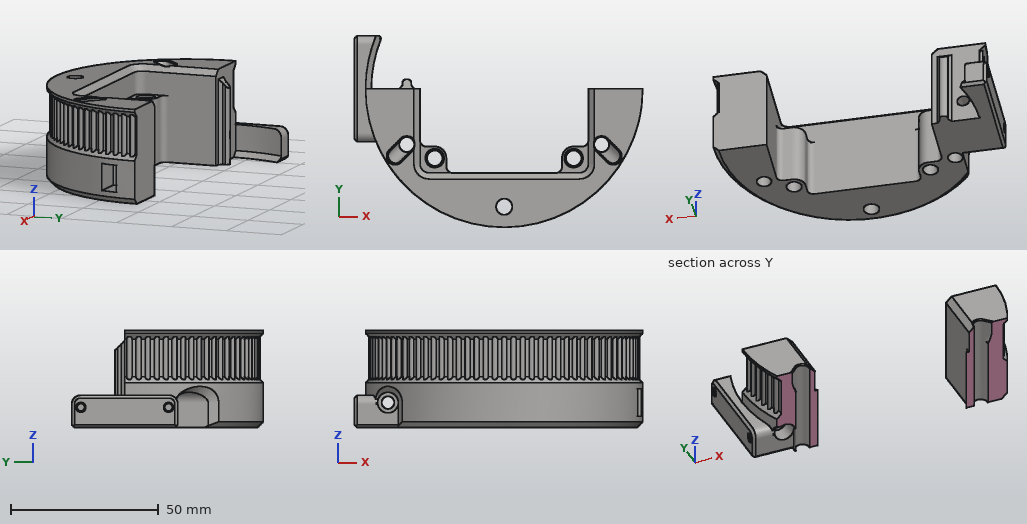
import cadquery as cq
import math

outer_radius = 47.0
height = 33.0
bottom_chamfer = 2.0
shoulder_height = 15.2
flange_thickness = 1.0

tooth_count = 90
tooth_height = 0.9
seat_radius = 45.0
tooth_embed = 1.0
tooth_width = 1.8
seat_depth = outer_radius - seat_radius

opening_half_width = 28.5
opening_corner_radius = 3.0
opening_chamfer = 2.1

ear_offset = 23.55
ear_radius = 4.0
ear_fillet = 2.0
ear_height = 23.0
ear_hole_diameter = 5.2
ear_rim_diameter = 6.4

centre_hole_diameter = 5.4
centre_hole_y = -40.0

guide_diameter = 5.0
guide_x = 33.0
guide_y = -18.9
guide_run = 4.0
guide_depth = 8.5
guide_hole_run = 0.05
guide_chamfer = 0.4

overall_length = 97.86
block_left = overall_length - outer_radius
block_half_length = 18.0
block_height = 11.0
block_corner_radius = 3.0
block_chamfer = 1.0
block_hole_diameter = 2.53
block_hole_mouth_diameter = 3.33
block_hole_spacing = 29.7
block_hole_z = 6.9
block_hole_depth = 0.6

screw_x = 39.4
screw_z = 8.5
screw_diameter = 4.2
screw_head_diameter = 7.0
screw_seat_y = -12.0
pocket_chamfer = 2.0

nut_slot_width = 9.3
nut_slot_near_y = -6.9
nut_slot_far_y = -12.6

rib_x = -33.0
rib_half_width = 1.5
rib_base_half_width = 2.5
rib_flare = 1.25
rib_side_end = 2.3
rib_projection = 3.3
rib_root_height = 29.5
rib_embed = 1.0

margin = 10.0


def box_between(low, high):
    size = [b - a for a, b in zip(low, high)]
    return cq.Workplane("XY").box(*size, centered=False).translate(low)


def cylinder_y(x, z, diameter, y_start, y_end):
    """Cylinder along +Y from y_start to y_end."""
    base = cq.Vector(x, y_start, z)
    return cq.Workplane(cq.Solid.makeCylinder(diameter / 2, y_end - y_start, base, cq.Vector(0, 1, 0)))


def beyond_split():
    """Everything on the +Y side of the split face, as far as the ring reaches."""
    return box_between((-outer_radius, 0, 0), (outer_radius, outer_radius, height))


def ring_blank():
    """Full disc with a chamfered foot, a belt seat and a flange at the top."""
    flange_bottom = height - flange_thickness
    profile = [
        (0, 0),
        (outer_radius - bottom_chamfer, 0),
        (outer_radius, bottom_chamfer),
        (outer_radius, shoulder_height),
        (seat_radius, shoulder_height + seat_depth),
        (seat_radius, flange_bottom - seat_depth),
        (outer_radius, flange_bottom),
        (outer_radius, height),
        (0, height),
    ]
    return cq.Workplane("XZ").polyline(profile).close().revolve(360, (0, 0, 0), (0, 1, 0))


def belt_teeth():
    """Round-topped ribs standing on the belt seat, all on the -Y half."""
    half = tooth_width / 2
    tip = seat_radius + tooth_height
    tooth = (
        cq.Workplane("XY", origin=(0, 0, shoulder_height))
        .moveTo(half, tooth_embed - seat_radius)
        .lineTo(half, half - tip)
        .threePointArc((0, -tip), (-half, half - tip))
        .lineTo(-half, tooth_embed - seat_radius)
        .close()
        .extrude(height - flange_thickness / 2 - shoulder_height)
        .val()
    )
    per_side = tooth_count // 4
    step = 360 / tooth_count
    teeth = [tooth.rotate((0, 0, 0), (0, 0, 1), i * step) for i in range(-per_side, per_side + 1)]
    return cq.Workplane(cq.Compound.makeCompound(teeth))


def screw_pocket():
    """Open-sided recess for the screw head, with a bevelled mouth on the round side."""
    disc = cq.Workplane("XY").circle(outer_radius).extrude(height)
    head_radius = screw_head_diameter / 2
    wall_x = -screw_x + head_radius
    reach = -outer_radius - margin

    def recess(floor_y):
        bore = cylinder_y(-screw_x, screw_z, screw_head_diameter, reach, floor_y)
        side = box_between((reach, reach, -margin), (wall_x, floor_y, screw_z))
        return bore.union(side)

    recessed = disc.cut(recess(0))
    mouth = cq.selectors.BoxSelector(
        (-screw_x - head_radius, -outer_radius, 0),
        (wall_x + head_radius, -block_half_length, screw_z + head_radius),
    )
    bevel = recessed.cut(recessed.edges(mouth).chamfer(pocket_chamfer))
    foot = (
        cq.Workplane("YZ", origin=(-block_left, -block_half_length, 0))
        .polyline([(0, 0), (block_chamfer, 0), (0, block_chamfer)])
        .close()
        .extrude(block_left + wall_x)
    )
    return recess(-block_half_length).union(bevel).union(foot)


def opening():
    """Rectangular opening with rounded corners and a chamfered top edge."""
    width = 2 * opening_half_width
    top_width = width + 2 * opening_chamfer
    slab = (
        cq.Workplane("XY")
        .rect(width, width)
        .extrude(height)
        .edges("|Z")
        .fillet(opening_corner_radius)
    )
    flare = (
        cq.Workplane("XY", origin=(0, 0, height))
        .sketch()
        .rect(top_width, top_width)
        .vertices()
        .fillet(opening_corner_radius + opening_chamfer)
        .finalize()
        .extrude(-opening_chamfer, taper=45)
    )
    return slab.union(flare)


def ear(side):
    """Corner ear on the wall at x = side * opening_half_width."""
    edge = ear_offset - ear_radius
    wall = opening_half_width
    far = wall + opening_corner_radius
    body = (
        cq.Workplane("XY")
        .moveTo(-far, -edge)
        .lineTo(-far, ear_fillet - edge)
        .lineTo(-wall, ear_fillet - edge)
        .radiusArc((ear_fillet - wall, -edge), -ear_fillet)
        .lineTo(-ear_offset, -edge)
        .radiusArc((-edge, -ear_offset), ear_radius)
        .lineTo(-edge, ear_fillet - wall)
        .radiusArc((ear_fillet - edge, -wall), -ear_fillet)
        .lineTo(ear_fillet - edge, -far)
        .lineTo(-far, -far)
        .close()
        .extrude(ear_height)
    )
    return body if side < 0 else body.mirror("YZ")


def guide_slot(side):
    """Vertical hole that widens upward into a slot, its outer end sloping out to the rim."""
    full_run = guide_run * math.sqrt(2)

    def slot(run, width, z):
        """Slot outline at height z, running outward at 45 degrees from the hole."""
        shift = run / math.sqrt(2) / 2
        return (
            cq.Workplane("XY", origin=(-guide_x - shift, guide_y - shift, z))
            .transformed(rotate=(0, 0, 45))
            .slot2D(run + width, width)
        )

    lower = slot(guide_hole_run, guide_diameter, height - guide_depth)
    hole = slot(guide_hole_run, guide_diameter, 0).extrude(height - guide_depth)
    upper = slot(full_run, guide_diameter, height)
    trough = cq.Solid.makeLoft([lower.val(), upper.val()], True)
    rim = slot(full_run, guide_diameter + 2 * guide_chamfer, height).extrude(-guide_chamfer, taper=45)
    cutter = hole.union(cq.Workplane(trough)).union(rim)
    return cutter if side < 0 else cutter.mirror("YZ")


def side_block():
    """Clamp block beside the ring, hollowed where it passes beyond the split face."""
    right = -screw_x + screw_head_diameter / 2
    block = box_between(
        (-block_left, -block_half_length, 0),
        (right, block_half_length, block_height),
    )
    block = block.edges("|X and >Z").fillet(block_corner_radius)
    block = block.faces("<X").chamfer(block_chamfer)
    block = block.edges("|X and <Z").chamfer(block_chamfer)
    clearance = (
        cq.Workplane("XY")
        .circle(outer_radius)
        .extrude(height)
        .faces("<Z")
        .chamfer(bottom_chamfer)
        .intersect(beyond_split())
    )
    return block.cut(clearance)


def block_hole(y):
    mouth_depth = (block_hole_mouth_diameter - block_hole_diameter) / 2
    profile = [
        (0, 0),
        (block_hole_mouth_diameter / 2, 0),
        (block_hole_diameter / 2, mouth_depth),
        (block_hole_diameter / 2, block_hole_depth),
        (0, block_hole_depth),
    ]
    return (
        cq.Workplane("XY").polyline(profile).close().revolve(360, (0, 0, 0), (0, 1, 0))
        .rotate((0, 0, 0), (0, 0, 1), -90)
        .translate((-block_left, y, block_hole_z))
    )


def locating_rib():
    """Upright rib on the split face with a flared root and a top sloping down at 45 degrees."""
    rib = (
        cq.Workplane("XY", origin=(rib_x, 0, 0))
        .moveTo(-rib_base_half_width, -rib_embed)
        .lineTo(-rib_base_half_width, 0)
        .lineTo(-rib_half_width, rib_flare)
        .lineTo(-rib_half_width, rib_side_end)
        .threePointArc((0, rib_projection), (rib_half_width, rib_side_end))
        .lineTo(rib_half_width, rib_flare)
        .lineTo(rib_base_half_width, 0)
        .lineTo(rib_base_half_width, -rib_embed)
        .close()
        .extrude(rib_root_height)
    )
    top = (
        cq.Workplane("YZ", origin=(rib_x, 0, 0))
        .polyline([(0, rib_root_height), (margin, rib_root_height), (margin, rib_root_height - margin)])
        .close()
        .extrude(rib_base_half_width, both=True)
    )
    return rib.cut(top)


def ear_hole(side):
    """Through hole of an ear with a chamfered upper rim."""
    rim = (ear_rim_diameter - ear_hole_diameter) / 2
    profile = [
        (0, 0),
        (ear_hole_diameter / 2, 0),
        (ear_hole_diameter / 2, ear_height - rim),
        (ear_rim_diameter / 2, ear_height),
        (0, ear_height),
    ]
    return (
        cq.Workplane("XZ").polyline(profile).close().revolve(360, (0, 0, 0), (0, 1, 0))
        .translate((side * ear_offset, -ear_offset, 0))
    )


def screw_hole():
    """Screw hole from the side block to the split face, with a seat for the head."""
    seat = cylinder_y(-screw_x, screw_z, screw_head_diameter, -block_half_length, screw_seat_y)
    shank = cylinder_y(-screw_x, screw_z, screw_diameter, screw_seat_y, margin)
    return seat.union(shank)


def nut_slot():
    """Square pocket entering from the round side at the screw height."""
    half = nut_slot_width / 2
    return box_between(
        (screw_x - half, nut_slot_far_y, screw_z - half),
        (outer_radius, nut_slot_near_y, screw_z + half),
    )


def centre_hole():
    return cq.Workplane("XY").center(0, centre_hole_y).circle(centre_hole_diameter / 2).extrude(height)


result = ring_blank().union(belt_teeth()).cut(beyond_split())
result = result.cut(screw_pocket()).cut(opening()).cut(centre_hole())

for side in (-1, 1):
    result = result.union(ear(side)).cut(ear_hole(side)).cut(guide_slot(side))

result = result.union(side_block()).union(locating_rib())
for end in (-1, 1):
    result = result.cut(block_hole(end * block_hole_spacing / 2))
result = result.cut(screw_hole()).cut(nut_slot())